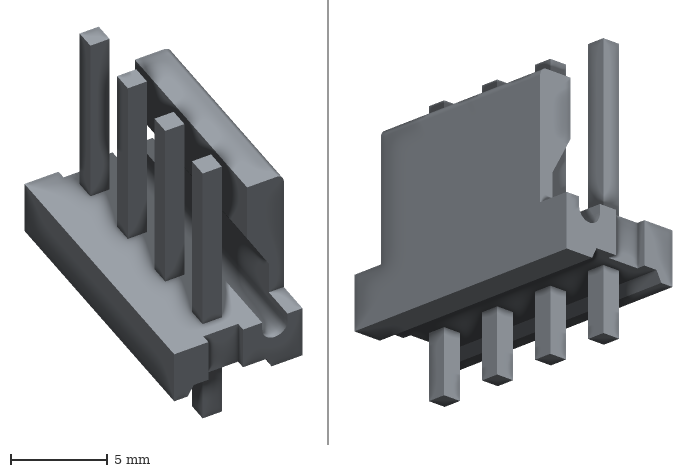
import cadquery as cq

length = 15.85
depth = 7.63
pin_length = 16.51

base_bottom = 3.19
base_top = 6.35
recess_top = 3.81
recess_front_bottom = 0.81
recess_front_top = 1.15
recess_back_top = 5.48
recess_back_bottom = 5.8

notch_front = 2.03
notch_back = 4.1
notch_depth = 0.53

wall_length = 11.89
wall_top = 13.95
wall_thickness = 0.89
head_thickness = 2.18
ramp_bottom = 8.29
ramp_top = 10.5
wall_round = 0.46
groove_width = 1.5
groove_bottom = 5.1

pin_count = 4
pin_pitch = 3.96
pin_width = 1.14
pin_y = 3.05


def extrude_along_length(points, total_length):
    """Extrude a YZ outline symmetrically about X = 0."""
    return cq.Workplane("YZ").polyline(points).close().extrude(total_length / 2, both=True)


def make_base():
    groove_back = depth - wall_thickness
    groove_front = groove_back - groove_width
    groove_radius = groove_width / 2
    groove_center_z = groove_bottom + groove_radius

    base = (
        cq.Workplane("YZ")
        .moveTo(0, base_bottom)
        .lineTo(recess_front_bottom, base_bottom)
        .lineTo(recess_front_top, recess_top)
        .lineTo(recess_back_top, recess_top)
        .lineTo(recess_back_bottom, base_bottom)
        .lineTo(depth, base_bottom)
        .lineTo(depth, base_top)
        .lineTo(groove_back, base_top)
        .lineTo(groove_back, groove_center_z)
        .threePointArc(
            (groove_back - groove_radius, groove_bottom),
            (groove_front, groove_center_z),
        )
        .lineTo(groove_front, base_top)
        .lineTo(0, base_top)
        .close()
        .extrude(length / 2, both=True)
    )

    notch_center_y = (notch_front + notch_back) / 2
    notches = (
        cq.Workplane("XY")
        .pushPoints([(-length / 2, notch_center_y), (length / 2, notch_center_y)])
        .rect(2 * notch_depth, notch_back - notch_front)
        .extrude(base_top)
    )
    return base.cut(notches)


def make_wall():
    """Thin wall with a thicker, ramped head and a rounded top rear edge."""
    head_front = depth - head_thickness
    web_front = depth - wall_thickness
    wall = extrude_along_length(
        [
            (depth, base_top),
            (depth, wall_top),
            (head_front, wall_top),
            (head_front, ramp_top),
            (web_front, ramp_bottom),
            (web_front, base_top),
        ],
        wall_length,
    )
    return wall.faces(">Y").edges(">Z").fillet(wall_round)


def make_pins():
    first_x = -pin_pitch * (pin_count - 1) / 2
    centers = [(first_x + i * pin_pitch, pin_y) for i in range(pin_count)]
    return cq.Workplane("XY").pushPoints(centers).rect(pin_width, pin_width).extrude(pin_length)


result = make_base().union(make_wall()).union(make_pins())